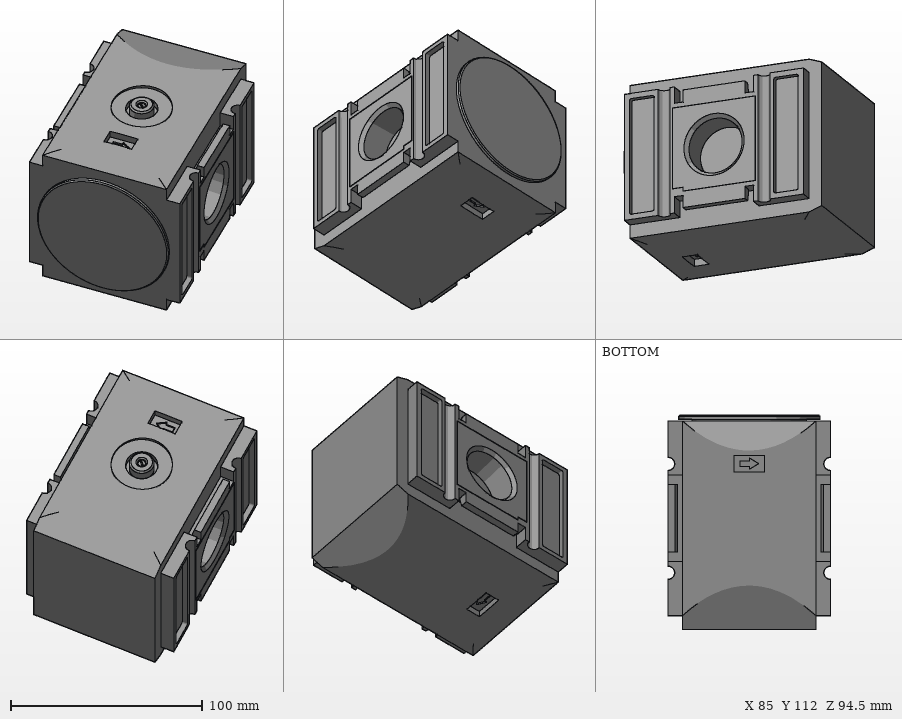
import cadquery as cq

width = 85.0
core_width = 70.0
body_length = 101.9
plate_height = 70.1
height = 94.5
knob_top_z = 47.9
dome_run = 15.7
rear_length = 7.2
rear_drop = 2.6

half_width = width / 2
half_core = core_width / 2
half_length = body_length / 2
edge_z = half_width
crown_z = height - knob_top_z
dome_rise = crown_z - edge_z

cap_neck_diameter = 60.0
cap_diameter = 74.0
cap_neck_length = 0.8
cap_thickness = 2.1
cap_chamfer = 0.7

groove_y = 28.5
groove_radius = 3.4
groove_axis_inset = 0.1
window_y = 41.0
window_length = 13.9
window_height = 64.3
window_depth = 3.0
window_corner_radius = 1.1
gap_half_length = 22.5
gap_floor_z = 26.0
tongue_length = 35.2
tongue_top_z = 32.7
tongue_top_thickness = 3.8
tongue_base_thickness = 5.0
tongue_slope_bottom_z = 27.8

panel_size = 47.0
panel_depth = 0.2
panel_step_length = 5.9
panel_step_height = 2.1
port_diameter = 30.2
port_mouth_diameter = 34.3
port_depth = 17.5

recess_diameter = 32.0
recess_floor_z = 45.0
well_diameter = 16.8
well_depth = 3.4
knob_diameter = 13.0
knob_chamfer = 0.9
socket_mouth_diameter = 6.0
socket_diameter = 4.5
socket_depth = 1.7
screw_diameter = 4.0
screw_height = 0.8
screw_slot_width = 0.8
screw_slot_depth = 0.5
screw_slot_angle = -45

arrow_pocket_y = -28.6
arrow_pocket_length = 15.7
arrow_pocket_width = 8.5
arrow_depth = 1.0
arrow_half_length = 4.9
arrow_neck_x = 0.2
arrow_shaft_width = 3.0
arrow_head_width = 5.8


def box(x_range, y_range, z_range):
    """Box between the given pairs of limits."""
    (x0, x1), (y0, y1), (z0, z1) = x_range, y_range, z_range
    return cq.Workplane("XY").box(x1 - x0, y1 - y0, z1 - z0, centered=False).translate((x0, y0, z0))


def upright_cylinder(diameter, bottom_z, top_z):
    """Cylinder on the Z axis."""
    return cq.Workplane("XY").workplane(offset=bottom_z).circle(diameter / 2).extrude(top_z - bottom_z)


def make_core():
    """Domed block, trimmed at both ends by the sloped facets and the rear taper."""
    rear_y = half_length + rear_length
    rear_z = edge_z - rear_drop
    cross_section = (
        cq.Workplane("XZ", origin=(0, rear_y, 0))
        .moveTo(-half_core, -edge_z)
        .lineTo(-half_core, edge_z)
        .threePointArc((0, crown_z), (half_core, edge_z))
        .lineTo(half_core, -edge_z)
        .threePointArc((0, -crown_z), (-half_core, -edge_z))
        .close()
        .extrude(rear_y + half_length)
    )
    upper_outline = [
        (-half_length, edge_z),
        (-half_length + dome_run, crown_z),
        (half_length - dome_run, crown_z),
        (half_length, edge_z),
        (rear_y, rear_z),
    ]
    lower_outline = [(y, -z) for y, z in reversed(upper_outline)]
    side_profile = (
        cq.Workplane("YZ")
        .polyline(upper_outline + lower_outline)
        .close()
        .extrude(half_core, both=True)
    )
    return cross_section.intersect(side_profile)


def make_cap():
    """Round cap on a narrower neck, on the front face."""
    neck = (
        cq.Workplane("XZ", origin=(0, -half_length, 0))
        .circle(cap_neck_diameter / 2)
        .extrude(cap_neck_length)
    )
    disc = (
        cq.Workplane("XZ", origin=(0, -half_length - cap_neck_length, 0))
        .circle(cap_diameter / 2)
        .extrude(cap_thickness)
        .faces("<Y")
        .chamfer(cap_chamfer)
    )
    return neck.union(disc)


def make_side_plate():
    """Plate on the -X side with grooves, windows and a tongue at its upper and lower edge."""
    half_height = plate_height / 2
    plate = box((-half_width, -half_core), (-half_length, half_length), (-half_height, half_height))

    for side in (1, -1):
        groove = (
            cq.Workplane("XY")
            .center(-half_width + groove_axis_inset, side * groove_y)
            .circle(groove_radius)
            .extrude(half_height, both=True)
        )
        window = (
            box(
                (-half_width, -half_width + window_depth),
                (side * window_y - window_length / 2, side * window_y + window_length / 2),
                (-window_height / 2, window_height / 2),
            )
            .edges("|X")
            .fillet(window_corner_radius)
        )
        plate = plate.cut(groove).cut(window)

    gap = box((-half_width, -half_core), (-gap_half_length, gap_half_length), (gap_floor_z, half_height))
    tongue = (
        cq.Workplane("XZ", origin=(0, tongue_length / 2, 0))
        .polyline([
            (-half_width, gap_floor_z),
            (-half_width, tongue_top_z),
            (-half_width + tongue_top_thickness, tongue_top_z),
            (-half_width + tongue_base_thickness, tongue_slope_bottom_z),
            (-half_width + tongue_base_thickness, gap_floor_z),
        ])
        .close()
        .extrude(tongue_length)
    )
    opening = gap.cut(tongue)
    return plate.cut(opening).cut(opening.mirror("XY"))


def make_port():
    """Cutter on the -X side: shallow stepped panel and a blind bore with a chamfered mouth."""
    half_panel = panel_size / 2
    step_y = -half_panel + panel_step_length
    step_z = -half_panel + panel_step_height
    panel = (
        cq.Workplane("YZ", origin=(-half_width, 0, 0))
        .polyline([
            (half_panel, -half_panel),
            (half_panel, half_panel),
            (-half_panel, half_panel),
            (-half_panel, step_z),
            (step_y, step_z),
            (step_y, -half_panel),
        ])
        .close()
        .extrude(panel_depth)
    )
    bore = (
        cq.Workplane("YZ", origin=(-half_width, 0, 0))
        .circle(port_diameter / 2)
        .extrude(port_depth)
    )
    mouth_chamfer = (port_mouth_diameter - port_diameter) / 2
    mouth = (
        cq.Workplane("YZ", origin=(-half_width + panel_depth, 0, 0))
        .circle(port_mouth_diameter / 2)
        .extrude(mouth_chamfer, taper=45)
    )
    return panel.union(bore).union(mouth)


def make_knob(base_z):
    """Chamfered knob with a countersunk socket holding a slotted screw."""
    knob = upright_cylinder(knob_diameter, base_z, knob_top_z).faces(">Z").chamfer(knob_chamfer)
    socket_floor_z = knob_top_z - socket_depth
    countersink_depth = (socket_mouth_diameter - socket_diameter) / 2
    countersink = (
        cq.Workplane("XY", origin=(0, 0, knob_top_z))
        .circle(socket_mouth_diameter / 2)
        .extrude(-countersink_depth, taper=45)
    )
    socket = upright_cylinder(socket_diameter, socket_floor_z, knob_top_z)
    screw_top_z = socket_floor_z + screw_height
    screw_slot = (
        cq.Workplane("XY", origin=(0, 0, screw_top_z))
        .transformed(rotate=(0, 0, screw_slot_angle))
        .rect(screw_diameter, screw_slot_width)
        .extrude(-screw_slot_depth)
    )
    screw = upright_cylinder(screw_diameter, socket_floor_z, screw_top_z).cut(screw_slot)
    return knob.cut(countersink).cut(socket).union(screw)


def make_arrow_pocket():
    """Cutter for the top dome: rectangular pocket with an arrow pointing to +X sunk in its floor."""
    half_shaft = arrow_shaft_width / 2
    half_head = arrow_head_width / 2
    floor = cq.Workplane("XY", origin=(0, arrow_pocket_y, edge_z))
    pocket = floor.rect(arrow_pocket_length, arrow_pocket_width).extrude(dome_rise)
    arrow = (
        floor.polyline([
            (-arrow_half_length, -half_shaft),
            (arrow_neck_x, -half_shaft),
            (arrow_neck_x, -half_head),
            (arrow_half_length, 0),
            (arrow_neck_x, half_head),
            (arrow_neck_x, half_shaft),
            (-arrow_half_length, half_shaft),
        ])
        .close()
        .extrude(-arrow_depth)
    )
    return pocket.union(arrow)


side_plate = make_side_plate()
port = make_port()
body = make_core().union(side_plate).union(side_plate.mirror("YZ")).union(make_cap())
body = body.cut(port).cut(port.mirror("YZ"))

well_floor_z = recess_floor_z - well_depth
recess = upright_cylinder(recess_diameter, recess_floor_z, crown_z)
well = upright_cylinder(well_diameter, well_floor_z, crown_z)
body = body.cut(recess).cut(well).union(make_knob(well_floor_z))

pocket = make_arrow_pocket()
result = body.cut(pocket).cut(pocket.mirror("XY"))